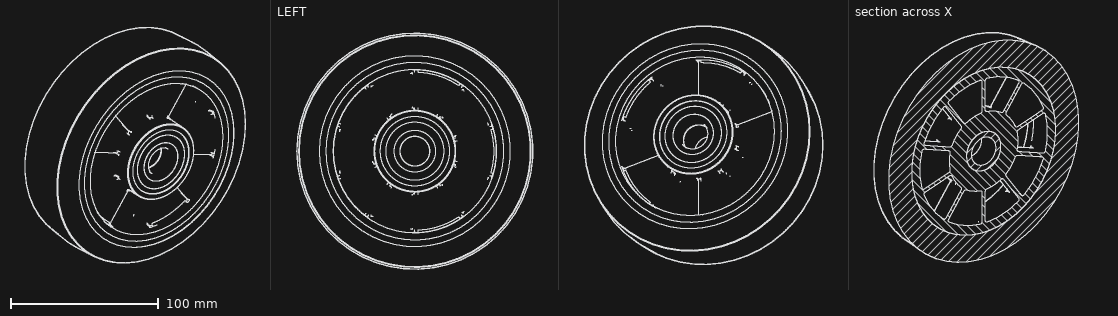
import cadquery as cq
import math


wheel_radius = 80.0
hub_half_width = 30.0
face_half_width = 24.8

tyre_bore_radius = 60.2
tread_half_width = 18.5
tread_edge_radius = 78.7
shoulder_half_width = 19.0
shoulder_radius = 78.2
flank_half_width = 22.4
flank_radius = 66.7
lip_mid_half_width = 23.4
lip_mid_radius = 65.5
lip_radius = 64.6

bearing_radius = 23.5
bearing_bore_radius = 10.0
bearing_width = 14.0
bearing_edge_fillet = 1.0
seal_outer_radius = 19.7
seal_inner_radius = 14.0
seal_depth = 0.2

spacer_radius = seal_inner_radius

hub_radius = 27.7
hub_edge_chamfer = 0.5
rim_inner_radius = 55.4
rim_draft = 2.0
web_half_width = 16.5
recess_fillet = 1.6
recess_wall_end = web_half_width + recess_fillet

pockets_per_side = 5
pocket_pitch = 360 / pockets_per_side
pocket_angle = pocket_pitch / 2
web_thickness = 2.9
pocket_floor = web_half_width - web_thickness
pocket_draft = 5.8
hub_draft = 4.8
pocket_fillet = 1.3
spoke_edge_radius = 2.4
spoke_edge_offset = 0.3
tool_reach = 64.0


def revolve_about_x(outline):
    return outline.close().revolve(360, (0, 0, 0), (1, 0, 0))


def make_tyre():
    outline = (
        cq.Workplane("XY")
        .moveTo(-face_half_width, tyre_bore_radius)
        .lineTo(-face_half_width, lip_radius)
        .threePointArc((-lip_mid_half_width, lip_mid_radius), (-flank_half_width, flank_radius))
        .lineTo(-shoulder_half_width, shoulder_radius)
        .lineTo(-tread_half_width, tread_edge_radius)
        .lineTo(0, wheel_radius)
        .lineTo(tread_half_width, tread_edge_radius)
        .lineTo(shoulder_half_width, shoulder_radius)
        .lineTo(flank_half_width, flank_radius)
        .threePointArc((lip_mid_half_width, lip_mid_radius), (face_half_width, lip_radius))
        .lineTo(face_half_width, tyre_bore_radius)
    )
    return revolve_about_x(outline)


def draft_offset(depth, draft):
    return depth * math.tan(math.radians(draft))


def turn_about_x(body, angle):
    return body.rotate((0, 0, 0), (1, 0, 0), angle)


def rim_wall_radius(half_width):
    """Radius of the drafted rim wall of the recess at a distance from the mid plane."""
    return rim_inner_radius - draft_offset(face_half_width - half_width, rim_draft)


def make_core_half():
    """The -X half of the core before its pockets: hub, recessed web and rim."""
    fillet_end_radius = rim_wall_radius(recess_wall_end)
    outline = (
        cq.Workplane("XY")
        .moveTo(0, spacer_radius)
        .lineTo(bearing_width - hub_half_width, spacer_radius)
        .lineTo(bearing_width - hub_half_width, bearing_radius)
        .lineTo(-hub_half_width, bearing_radius)
        .lineTo(-hub_half_width, hub_radius - hub_edge_chamfer)
        .lineTo(hub_edge_chamfer - hub_half_width, hub_radius)
        .lineTo(-recess_wall_end, hub_radius)
        .radiusArc((-web_half_width, hub_radius + recess_fillet), -recess_fillet)
        .lineTo(-web_half_width, fillet_end_radius - recess_fillet)
        .radiusArc((-recess_wall_end, fillet_end_radius), -recess_fillet)
        .lineTo(-face_half_width, rim_inner_radius)
        .lineTo(-face_half_width, tyre_bore_radius)
        .lineTo(0, tyre_bore_radius)
    )
    return revolve_about_x(outline)


def make_pocket_ring():
    """Full ring between the drafted hub and rim walls of the pockets."""
    depth = pocket_floor + web_half_width
    mouth_radius = rim_wall_radius(web_half_width)
    outline = (
        cq.Workplane("XY")
        .moveTo(-recess_wall_end, hub_radius)
        .lineTo(-web_half_width, hub_radius)
        .lineTo(pocket_floor, hub_radius + draft_offset(depth, hub_draft))
        .lineTo(pocket_floor, mouth_radius - draft_offset(depth, pocket_draft))
        .lineTo(-web_half_width, mouth_radius)
        .lineTo(-recess_wall_end, rim_wall_radius(recess_wall_end))
    )
    return revolve_about_x(outline)


def make_spoke_side():
    """Space beside the drafted +Y wall of the spoke along +Z."""
    wall_run = draft_offset(pocket_floor + recess_wall_end, pocket_draft)
    return (
        cq.Workplane("XY")
        .moveTo(-recess_wall_end, -spoke_edge_offset)
        .lineTo(pocket_floor, wall_run - spoke_edge_offset)
        .lineTo(pocket_floor, tool_reach)
        .lineTo(-recess_wall_end, tool_reach)
        .close()
        .extrude(tool_reach)
    )


def make_spoke_rounding():
    """Material taken off to round the edge between the web face and the +Y wall of the spoke along +Z."""
    draft = math.radians(pocket_draft)
    round_depth = spoke_edge_radius * math.cos(draft)
    round_width = spoke_edge_radius * (1 - math.sin(draft))
    wall_start = round_depth - web_half_width
    wall_offset = draft_offset(wall_start + recess_wall_end, pocket_draft) - spoke_edge_offset
    return (
        cq.Workplane("XY")
        .moveTo(-recess_wall_end, wall_offset - round_width)
        .lineTo(-web_half_width, wall_offset - round_width)
        .radiusArc((wall_start, wall_offset), spoke_edge_radius)
        .lineTo(-recess_wall_end, wall_offset)
        .close()
        .extrude(tool_reach)
    )


def both_sides(first_side):
    """A body beside the spoke along +Z and its mirror image at the next spoke toward +Y."""
    return first_side, turn_about_x(first_side.mirror("XZ"), -pocket_angle)


def make_pocket():
    """One pocket open to -X, between the spoke along +Z and the next spoke toward +Y."""
    ring = make_pocket_ring()
    pocket = ring
    for side in both_sides(make_spoke_side()):
        pocket = pocket.intersect(side)
    corner_edges = pocket.edges("not(#X)").edges("not(%CIRCLE)")
    floor_edges = pocket.faces(">X").edges()
    pocket = corner_edges.add(floor_edges).fillet(pocket_fillet)
    for rounding in both_sides(make_spoke_rounding()):
        pocket = pocket.union(rounding.intersect(ring))
    return pocket


def make_core():
    half = make_core_half()
    core = half.union(half.mirror("YZ"))
    near_pocket = make_pocket()
    far_pocket = turn_about_x(near_pocket.mirror("YZ"), -pocket_angle)
    for i in range(pockets_per_side):
        core = core.cut(turn_about_x(near_pocket, i * pocket_pitch))
        core = core.cut(turn_about_x(far_pocket, i * pocket_pitch))
    return core


def make_bearing(start):
    bearing = (
        cq.Workplane("YZ", origin=(start, 0, 0))
        .circle(bearing_radius)
        .circle(bearing_bore_radius)
        .extrude(bearing_width)
        .faces("<X or >X")
        .edges()
        .fillet(bearing_edge_fillet)
    )
    for groove_start in (start, start + bearing_width - seal_depth):
        groove = (
            cq.Workplane("YZ", origin=(groove_start, 0, 0))
            .circle(seal_outer_radius)
            .circle(seal_inner_radius)
            .extrude(seal_depth)
        )
        bearing = bearing.cut(groove)
    return bearing


def make_spacer():
    half_length = hub_half_width - bearing_width
    return (
        cq.Workplane("YZ", origin=(-half_length, 0, 0))
        .circle(spacer_radius)
        .circle(bearing_bore_radius)
        .extrude(2 * half_length)
    )


tyre = make_tyre()
core = make_core()
spacer = make_spacer()
bearings = [make_bearing(start) for start in (-hub_half_width, hub_half_width - bearing_width)]

result = cq.Compound.makeCompound(
    [tyre.val(), core.val(), spacer.val(), *[bearing.val() for bearing in bearings]]
)